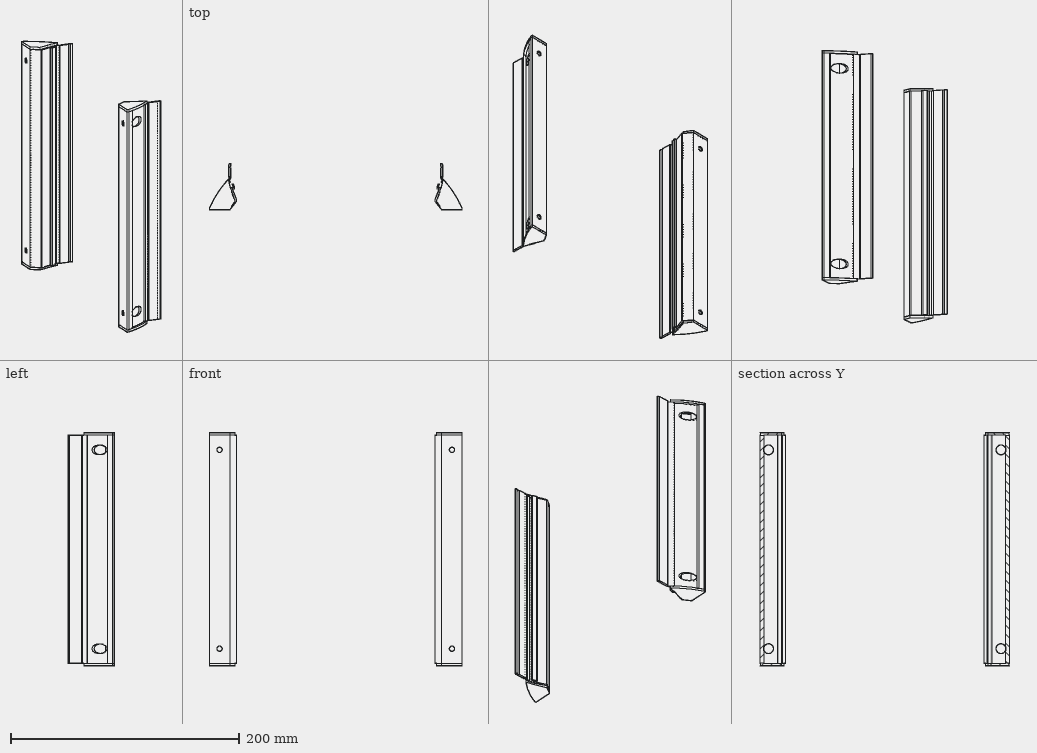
import cadquery as cq
import math

TOTAL_WIDTH = 221.5
TOTAL_HEIGHT = 204.5
CAP_THICKNESS = 2.2
BAR_LENGTH = TOTAL_HEIGHT - 2 * CAP_THICKNESS

WALL = 1.0
FRONT_WIDTH = 18.0
RIM_DEPTH = 1.5
APEX = (16.4, 26.8)
BOW_END = 28.1
BOW_HEIGHT = 1.3
SHOULDER = (17.5, 23.5)
NECK_DEPTH = 25.7
INNER_CORNER = (24.0, 7.5)
INNER_FLAT = 1.3
CAP_CORNER = (22.5, 7.5)

RECESS_DEPTH = 2.2
RECESS_START = 6.0
RECESS_END = 24.1

LEDGE_DEPTH = 19.5
LEDGE_ACROSS = 18.4
LEDGE_WIDTH = 1.3
HOOK_STEM = 1.3
HOOK_REACH = 22.1
HOOK_TIP_DEPTH = 22.8
HOOK_ARM = 1.3
HOOK_LEAN = 1.0
LIP_REACH = 0.9
LIP_THICKNESS = 0.9

FIN_ACROSS = 16.8
FIN_THICKNESS = 2.0
FIN_INNER = FIN_ACROSS + FIN_THICKNESS
FIN_END_DEPTH = 40.5
FIN_TIP_BEVEL = 0.7
FIN_TIP_BEVEL_LENGTH = 1.3
GROOVE_DEPTH = 0.9
GROOVE_WIDTH = 1.8
GROOVE_PLACE = 37.5
FIN_NECK = 0.9
FIN_NECK_LENGTH = 0.9

SCREW_HOLE_DIAMETER = 4.5
ACCESS_HOLE_DIAMETER = 8.5
HOLE_ACROSS = 8.9
HOLE_SPACING = 174.3

CHORD_ACROSS = APEX[0]
CHORD_DEPTH = APEX[1] - RIM_DEPTH
CHORD = math.hypot(CHORD_ACROSS, CHORD_DEPTH)
BOW_RADIUS = (CHORD ** 2 / 4 + BOW_HEIGHT ** 2) / (2 * BOW_HEIGHT)
CENTER_OFFSET = BOW_RADIUS - BOW_HEIGHT
BOW_CENTER_ACROSS = CHORD_ACROSS / 2 + CENTER_OFFSET * CHORD_DEPTH / CHORD
BOW_CENTER_DEPTH = RIM_DEPTH + CHORD_DEPTH / 2 - CENTER_OFFSET * CHORD_ACROSS / CHORD


def bow_point(depth, inset=0):
    """Point of the bowed wall, or of the curve a given inset inside it."""
    rise = depth - BOW_CENTER_DEPTH
    return BOW_CENTER_ACROSS - math.sqrt((BOW_RADIUS - inset) ** 2 - rise ** 2), depth


def bow_arc(outline, start, end, inset=0):
    """Continue an outline along the bowed curve between two depths."""
    return outline.threePointArc(bow_point((start + end) / 2, inset), bow_point(end, inset))


def body_outline():
    """Outer outline of the hollow part of the bar, with the recess."""
    outline = cq.Workplane("XY").moveTo(0, 0).lineTo(0, RIM_DEPTH)
    outline = bow_arc(outline, RIM_DEPTH, RECESS_START)
    outline = outline.lineTo(*bow_point(RECESS_START, RECESS_DEPTH))
    outline = bow_arc(outline, RECESS_START, RECESS_END, RECESS_DEPTH)
    outline = outline.lineTo(*bow_point(RECESS_END))
    outline = bow_arc(outline, RECESS_END, BOW_END)
    return (
        outline
        .lineTo(FIN_INNER, BOW_END)
        .lineTo(SHOULDER[0], NECK_DEPTH)
        .lineTo(SHOULDER[0] + LIP_REACH, SHOULDER[1] + LIP_THICKNESS)
        .lineTo(*SHOULDER)
        .lineTo(LEDGE_ACROSS, LEDGE_DEPTH)
        .lineTo(LEDGE_ACROSS + LEDGE_WIDTH, LEDGE_DEPTH)
        .lineTo(INNER_CORNER[0], INNER_CORNER[1] + INNER_FLAT)
        .lineTo(*INNER_CORNER)
        .lineTo(FRONT_WIDTH, 0)
        .close()
    )


def cavity_outline():
    """Hollow of the bar, one wall thickness inside the recessed section."""
    outline = cq.Workplane("XY").moveTo(*bow_point(0, RECESS_DEPTH))
    outline = bow_arc(outline, 0, SHOULDER[1], RECESS_DEPTH)
    return (
        outline
        .lineTo(*SHOULDER)
        .lineTo(LEDGE_ACROSS, LEDGE_DEPTH)
        .lineTo(*INNER_CORNER)
        .lineTo(FRONT_WIDTH, 0)
        .close()
        .offset2D(-WALL)
    )


def extruded(points):
    """Straight-sided section over the full length of the bar."""
    return cq.Workplane("XY").polyline(points).close().extrude(BAR_LENGTH)


def make_fin():
    """Rear fin with its thin neck, inner groove and beveled rear edge."""
    return extruded([
        (FIN_ACROSS + FIN_NECK, BOW_END),
        (FIN_ACROSS + FIN_NECK, BOW_END + FIN_NECK_LENGTH),
        (FIN_ACROSS, BOW_END + FIN_NECK_LENGTH),
        (FIN_ACROSS, FIN_END_DEPTH - FIN_TIP_BEVEL_LENGTH),
        (FIN_ACROSS + FIN_TIP_BEVEL, FIN_END_DEPTH),
        (FIN_INNER, FIN_END_DEPTH),
        (FIN_INNER, GROOVE_PLACE + GROOVE_WIDTH / 2),
        (FIN_INNER - GROOVE_DEPTH, GROOVE_PLACE),
        (FIN_INNER, GROOVE_PLACE - GROOVE_WIDTH / 2),
        (FIN_INNER, BOW_END),
    ])


def make_hook():
    """Hook of the seal channel: a stem with an arm that points backward."""
    return extruded([
        (LEDGE_ACROSS, LEDGE_DEPTH - HOOK_STEM),
        (HOOK_REACH, LEDGE_DEPTH - HOOK_STEM),
        (HOOK_REACH, LEDGE_DEPTH),
        (HOOK_REACH - HOOK_LEAN, HOOK_TIP_DEPTH),
        (HOOK_REACH - HOOK_LEAN - HOOK_ARM, HOOK_TIP_DEPTH),
        (HOOK_REACH - HOOK_ARM, LEDGE_DEPTH),
        (LEDGE_ACROSS, LEDGE_DEPTH),
    ])


def cut_hole(bar, diameter, start, end, height):
    """Cut a round hole along Y between two depths."""
    hole = cq.Solid.makeCylinder(
        diameter / 2, end - start, cq.Vector(HOLE_ACROSS, start, height), cq.Vector(0, 1, 0)
    )
    return bar.cut(cq.Workplane(hole))


def make_bar():
    """Hollow bar on the -X side."""
    bar = body_outline().extrude(BAR_LENGTH).union(make_fin()).union(make_hook())
    bar = bar.cut(cavity_outline().extrude(BAR_LENGTH))
    for end in (-1, 1):
        height = BAR_LENGTH / 2 + end * HOLE_SPACING / 2
        bar = cut_hole(bar, SCREW_HOLE_DIAMETER, 0, WALL, height)
        bar = cut_hole(bar, ACCESS_HOLE_DIAMETER, WALL, FIN_END_DEPTH, height)
    return bar.translate((-TOTAL_WIDTH / 2, 0, -BAR_LENGTH / 2))


def make_cap():
    """Flat plate on the upper end of the -X bar."""
    outline = cq.Workplane("XY").moveTo(0, 0).lineTo(0, RIM_DEPTH)
    outline = (
        bow_arc(outline, RIM_DEPTH, APEX[1])
        .lineTo(*SHOULDER)
        .lineTo(LEDGE_ACROSS, LEDGE_DEPTH)
        .lineTo(*CAP_CORNER)
        .lineTo(FRONT_WIDTH, 0)
        .close()
    )
    cap = outline.extrude(CAP_THICKNESS)
    return cap.translate((-TOTAL_WIDTH / 2, 0, BAR_LENGTH / 2))


left_bar = make_bar()
upper_cap = make_cap()
bodies = []
for part in (left_bar, upper_cap, upper_cap.mirror("XY")):
    bodies.append(part.val())
    bodies.append(part.mirror("YZ").val())

result = cq.Compound.makeCompound(bodies)